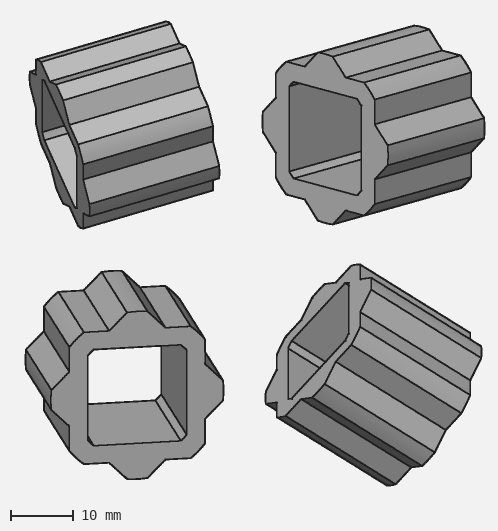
import cadquery as cq

outer_diameter = 27.98
square_side = 22.0
length = square_side
bore_side = 16.0
bore_corner_diameter = 21.32


def square_bar(side):
    """Square bar along Y, centred on the origin."""
    return cq.Workplane("XZ").rect(side, side).extrude(length / 2, both=True)


def round_bar(diameter):
    """Round bar along Y, centred on the origin."""
    return cq.Workplane("XZ").circle(diameter / 2).extrude(length / 2, both=True)


upright_bar = square_bar(square_side)
diagonal_bar = upright_bar.rotate((0, 0, 0), (0, 1, 0), 45)
star = upright_bar.union(diagonal_bar)

body = star.intersect(round_bar(outer_diameter))

bore = square_bar(bore_side).intersect(round_bar(bore_corner_diameter))

result = body.cut(bore)